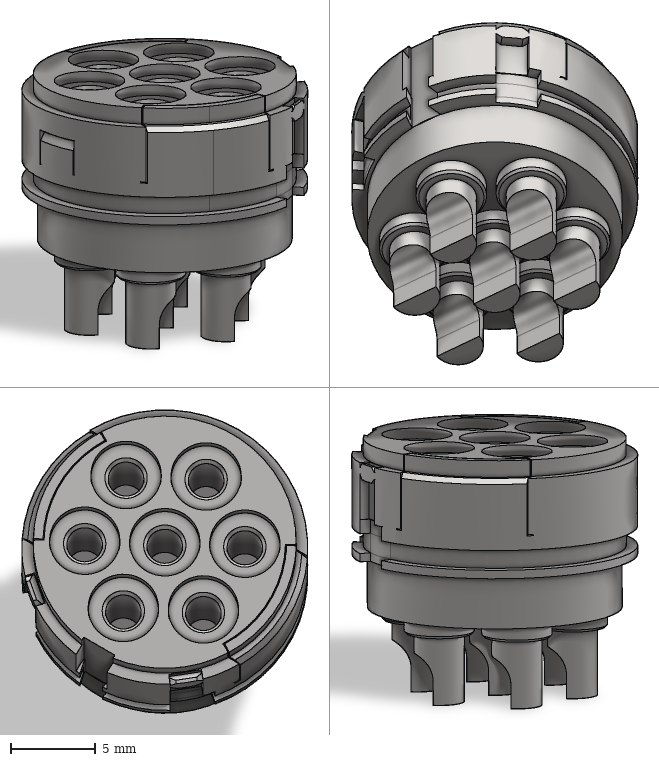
import cadquery as cq
import math

TOTAL_HEIGHT = 15.3
COLLAR_TOP = 14.3
COLLAR_BOTTOM = 10.0
FLANGE_TOP = 8.8
FLANGE_BOTTOM = 8.3
BODY_BOTTOM = 5.1
BOSS_BOTTOM = 4.11
SLIT_BOTTOM = 10.85

OUTER_RADIUS = 8.5
NECK_RADIUS = 7.82
BODY_RADIUS = 7.58
CUT_RADIUS = OUTER_RADIUS + 0.85

CONTACT_COUNT = 6
CONTACT_CIRCLE = 4.76
BOSS_RADIUS = 2.09
BOSS_CHAMFER = 0.15
PIN_RADIUS = 1.5
PIN_STEP_HEIGHT = 2.95
RECESS_DEPTH = 0.65
SOCKET_RADIUS = 1.05
SOCKET_CHAMFER = 0.2
SOCKET_DEPTH = 5.0

SLIT_WIDTH = 0.07

TONGUE_INNER_RADIUS = 7.17
TONGUE_HALF_ANGLE = 30.0
TONGUE_HALF_WIDTH = NECK_RADIUS * math.sin(math.radians(TONGUE_HALF_ANGLE))
TONGUE_CHAMFER_WIDTH = 0.34
TONGUE_CHAMFER_HEIGHT = 0.3
SLIT_FOOT_LENGTH = 0.34

KEYWAY_FLOOR = 7.53
KEYWAY_HALF_WIDTH = 1.07
DOVETAIL_OUTER_HALF_WIDTH = 0.78
DOVETAIL_INNER_HALF_WIDTH = 1.0

WINDOW_ANGLE = 40.0
WINDOW_HALF_WIDTH = 0.99
WINDOW_FLOOR = 7.85
WINDOW_NEAR_ANGLE = 6.7
WINDOW_FAR_ANGLE = 11.7
BAR_HEIGHT = 0.99
BAR_END_LENGTH = 0.35
BAR_END_DROP = 0.29
BAR_INNER_CHAMFER = 0.4

LATCH_ANGLE = 20.0
LATCH_HALF_WIDTH = 1.56
LATCH_WINDOW_TOP = 12.95
LATCH_TOP_GAP = 0.14
LATCH_CHAMFER_HEIGHT = 0.5
LATCH_CHAMFER_DEPTH = 0.3


def block(x_min, x_max, y_min, y_max, z_min, z_max):
    size = (x_max - x_min, y_max - y_min, z_max - z_min)
    return cq.Workplane("XY").box(*size, centered=False).translate((x_min, y_min, z_min))


def disc(radius, z_min, z_max):
    return cq.Workplane("XY").workplane(offset=z_min).circle(radius).extrude(z_max - z_min)


def ring(inner, outer, z_min, z_max):
    return disc(outer, z_min, z_max).cut(disc(inner, z_min, z_max))


def turn(shape, angle):
    return shape.rotate((0, 0, 0), (0, 0, 1), angle)


def both_sides(shape):
    return shape.union(shape.mirror("YZ"))


def make_body():
    body = disc(BODY_RADIUS, BODY_BOTTOM, FLANGE_BOTTOM)
    body = body.union(disc(OUTER_RADIUS, FLANGE_BOTTOM, FLANGE_TOP))
    body = body.union(disc(NECK_RADIUS, FLANGE_TOP, TOTAL_HEIGHT))
    return body.union(disc(OUTER_RADIUS, COLLAR_BOTTOM, COLLAR_TOP))


def make_keyway():
    upper = block(-KEYWAY_HALF_WIDTH, KEYWAY_HALF_WIDTH, KEYWAY_FLOOR, CUT_RADIUS, SLIT_BOTTOM, TOTAL_HEIGHT)
    lower = (
        cq.Workplane("XY")
        .workplane(offset=FLANGE_BOTTOM)
        .polyline([
            (-DOVETAIL_INNER_HALF_WIDTH, KEYWAY_FLOOR),
            (DOVETAIL_INNER_HALF_WIDTH, KEYWAY_FLOOR),
            (DOVETAIL_OUTER_HALF_WIDTH, OUTER_RADIUS),
            (-DOVETAIL_OUTER_HALF_WIDTH, OUTER_RADIUS),
        ])
        .close()
        .extrude(SLIT_BOTTOM - FLANGE_BOTTOM)
    )
    return upper.union(lower)


def make_locking_bar():
    """Bar bridging the top of a locking window, bevelled at the ends and along the inner top edge."""
    bottom = COLLAR_TOP - BAR_HEIGHT
    end = WINDOW_HALF_WIDTH
    shoulder = end - BAR_END_LENGTH
    face = (
        cq.Workplane("XZ", origin=(0, WINDOW_FLOOR, 0))
        .polyline([
            (-shoulder, bottom),
            (shoulder, bottom),
            (end, bottom + BAR_END_DROP),
            (end, COLLAR_TOP - BAR_END_DROP),
            (shoulder, COLLAR_TOP),
            (-shoulder, COLLAR_TOP),
            (-end, COLLAR_TOP - BAR_END_DROP),
            (-end, bottom + BAR_END_DROP),
        ])
        .close()
        .extrude(WINDOW_FLOOR - CUT_RADIUS)
    )
    inner_bevel = (
        cq.Workplane("YZ")
        .polyline([
            (WINDOW_FLOOR, COLLAR_TOP - BAR_INNER_CHAMFER),
            (WINDOW_FLOOR + BAR_INNER_CHAMFER, COLLAR_TOP),
            (WINDOW_FLOOR, COLLAR_TOP),
        ])
        .close()
        .extrude(WINDOW_HALF_WIDTH, both=True)
    )
    return face.cut(inner_bevel)


def make_locking_windows():
    """Windows with a flat floor behind a bar; below the slit level they go down to the round neck
    between radial end walls and are wider on the side away from the keyway."""
    upper = block(
        -WINDOW_HALF_WIDTH, WINDOW_HALF_WIDTH, WINDOW_FLOOR, CUT_RADIUS, SLIT_BOTTOM, COLLAR_TOP
    )
    lower = (
        cq.Workplane("XY")
        .workplane(offset=FLANGE_BOTTOM)
        .polyline([
            (0, 0),
            (CUT_RADIUS * math.tan(math.radians(WINDOW_NEAR_ANGLE)), CUT_RADIUS),
            (-CUT_RADIUS * math.tan(math.radians(WINDOW_FAR_ANGLE)), CUT_RADIUS),
        ])
        .close()
        .extrude(SLIT_BOTTOM - FLANGE_BOTTOM)
    )
    lower = lower.cut(disc(NECK_RADIUS, FLANGE_BOTTOM, SLIT_BOTTOM))
    window = upper.cut(make_locking_bar()).union(lower)
    return both_sides(turn(window, WINDOW_ANGLE))


def make_side_tongue_slits():
    """Side tongue outline: an arc, two radial legs in the rim and two straight legs in the collar."""
    neck_x = NECK_RADIUS * math.cos(math.radians(TONGUE_HALF_ANGLE))
    wedge = (
        cq.Workplane("XY")
        .workplane(offset=SLIT_BOTTOM)
        .polyline([
            (0, 0),
            (CUT_RADIUS, -CUT_RADIUS * math.tan(math.radians(TONGUE_HALF_ANGLE))),
            (CUT_RADIUS, CUT_RADIUS * math.tan(math.radians(TONGUE_HALF_ANGLE))),
        ])
        .close()
        .extrude(TOTAL_HEIGHT - SLIT_BOTTOM)
    )
    arc_outer = TONGUE_INNER_RADIUS + SLIT_WIDTH
    slits = ring(TONGUE_INNER_RADIUS, arc_outer, SLIT_BOTTOM, TOTAL_HEIGHT).intersect(wedge)
    edge = TONGUE_HALF_WIDTH
    for side in (-1, 1):
        radial = block(TONGUE_INNER_RADIUS, NECK_RADIUS, -SLIT_WIDTH, 0, SLIT_BOTTOM, TOTAL_HEIGHT)
        radial = turn(radial, TONGUE_HALF_ANGLE)
        straight = block(neck_x - SLIT_WIDTH, CUT_RADIUS, edge - SLIT_WIDTH, edge, SLIT_BOTTOM, TOTAL_HEIGHT)
        foot = block(
            neck_x - SLIT_WIDTH, CUT_RADIUS,
            edge - SLIT_WIDTH, edge - SLIT_WIDTH + SLIT_FOOT_LENGTH,
            SLIT_BOTTOM, SLIT_BOTTOM + SLIT_WIDTH,
        )
        leg = radial.union(straight).union(foot)
        slits = slits.union(leg if side > 0 else leg.mirror("XZ"))
    return both_sides(slits)


def make_side_tongue_chamfers():
    """Bevel of the collar's top edge, limited to the width of the side tongues."""
    bevel = (
        cq.Workplane("XZ")
        .polyline([
            (OUTER_RADIUS, COLLAR_TOP - TONGUE_CHAMFER_HEIGHT),
            (OUTER_RADIUS, COLLAR_TOP),
            (OUTER_RADIUS - TONGUE_CHAMFER_WIDTH, COLLAR_TOP),
        ])
        .close()
        .revolve(360, (0, 0), (0, 1))
    )
    limit = block(
        -CUT_RADIUS, CUT_RADIUS, -TONGUE_HALF_WIDTH, TONGUE_HALF_WIDTH, COLLAR_BOTTOM, TOTAL_HEIGHT
    )
    return bevel.intersect(limit)


def make_latch_cut():
    """Clearance around the latch tongue: two side slits and a bevelled gap above it."""
    tongue_top = LATCH_WINDOW_TOP - LATCH_TOP_GAP
    bevel_bottom = tongue_top - LATCH_CHAMFER_HEIGHT
    gap_ring = (
        cq.Workplane("XZ")
        .polyline([
            (NECK_RADIUS, tongue_top),
            (OUTER_RADIUS - LATCH_CHAMFER_DEPTH, tongue_top),
            (OUTER_RADIUS, bevel_bottom),
            (CUT_RADIUS, bevel_bottom),
            (CUT_RADIUS, LATCH_WINDOW_TOP),
            (NECK_RADIUS, LATCH_WINDOW_TOP),
        ])
        .close()
        .revolve(360, (0, 0), (0, 1))
    )
    latch_width = block(
        -LATCH_HALF_WIDTH, LATCH_HALF_WIDTH,
        -CUT_RADIUS, 0, bevel_bottom, LATCH_WINDOW_TOP,
    )
    top_gap = gap_ring.intersect(latch_width)
    slit = block(
        LATCH_HALF_WIDTH - SLIT_WIDTH, LATCH_HALF_WIDTH,
        -CUT_RADIUS, 0, SLIT_BOTTOM, LATCH_WINDOW_TOP,
    )
    cut = top_gap.union(both_sides(slit)).cut(disc(NECK_RADIUS, SLIT_BOTTOM, LATCH_WINDOW_TOP))
    return turn(cut, LATCH_ANGLE)


def make_pin():
    """Boss and pin; the pin's +Y half is cut away below a quarter-round step."""
    boss = disc(BOSS_RADIUS, BOSS_BOTTOM, BODY_BOTTOM).faces("<Z").edges().chamfer(BOSS_CHAMFER)
    pin = disc(PIN_RADIUS, 0, BOSS_BOTTOM)
    arc_center_z = PIN_STEP_HEIGHT - PIN_RADIUS
    arc_offset = PIN_RADIUS * math.sqrt(0.5)
    step = (
        cq.Workplane("YZ")
        .moveTo(0, 0)
        .lineTo(0, arc_center_z)
        .threePointArc((PIN_RADIUS - arc_offset, arc_center_z + arc_offset), (PIN_RADIUS, PIN_STEP_HEIGHT))
        .lineTo(PIN_RADIUS, 0)
        .close()
        .extrude(PIN_RADIUS, both=True)
    )
    return boss.union(pin.cut(step))


def make_socket():
    """Wide shallow recess with a blind contact hole in its floor."""
    floor = TOTAL_HEIGHT - RECESS_DEPTH
    hole_bottom = floor - SOCKET_DEPTH
    profile = [
        (0, hole_bottom),
        (SOCKET_RADIUS, hole_bottom),
        (SOCKET_RADIUS, floor - SOCKET_CHAMFER),
        (SOCKET_RADIUS + SOCKET_CHAMFER, floor),
        (BOSS_RADIUS, floor),
        (BOSS_RADIUS, TOTAL_HEIGHT),
        (0, TOTAL_HEIGHT),
    ]
    return cq.Workplane("XZ").polyline(profile).close().revolve(360, (0, 0), (0, 1))


contact_positions = [(0, 0)]
for index in range(CONTACT_COUNT):
    angle = math.radians(90 + index * 360 / CONTACT_COUNT)
    contact_positions.append((CONTACT_CIRCLE * math.cos(angle), CONTACT_CIRCLE * math.sin(angle)))

result = make_body()
result = result.cut(make_locking_windows())
result = result.cut(make_keyway())
result = result.cut(make_side_tongue_slits())
result = result.cut(make_side_tongue_chamfers())
result = result.cut(make_latch_cut())
for x, y in contact_positions:
    result = result.union(make_pin().translate((x, y, 0)))
    result = result.cut(make_socket().translate((x, y, 0)))